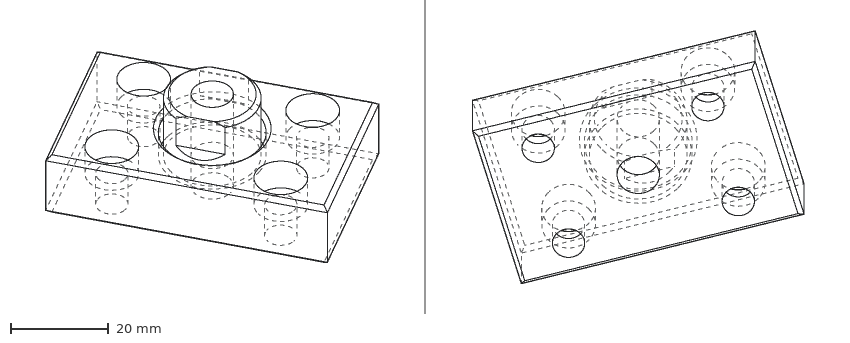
import cadquery as cq

plate_length = 60.0
plate_width = 37.0
plate_height = 15.0
total_height = 24.0
chamfer = 1.0

screw_spacing_x = 36.0
screw_spacing_y = 23.0
screw_hole_diameter = 6.6
counterbore_diameter = 11.0
counterbore_depth = 7.0

pin_diameter = 20.0
pin_clearance = 1.0
bore_diameter = 8.65
flat_distance = 17.0
flat_rise = 0.95

pocket_diameter = pin_diameter + 2 * pin_clearance
pocket_depth = counterbore_depth
pocket_floor = plate_height - pocket_depth
flat_offset = flat_distance / 2
flat_bottom = plate_height + flat_rise
flat_cut_depth = pin_diameter / 2 - flat_offset


def make_plate():
    """Chamfered plate with four screw holes and a central pocket for the pin."""
    plate = cq.Workplane("XY").box(plate_length, plate_width, plate_height, centered=(True, True, False))
    plate = plate.faces("<Z or >Z").edges().chamfer(chamfer)

    plate = (
        plate.faces(">Z")
        .workplane(origin=(0, 0, plate_height))
        .rarray(screw_spacing_x, screw_spacing_y, 2, 2)
        .cboreHole(screw_hole_diameter, counterbore_diameter, counterbore_depth)
    )

    pocket = (
        cq.Workplane("XY", origin=(0, 0, pocket_floor))
        .circle(pocket_diameter / 2)
        .extrude(pocket_depth)
    )
    mouth = cq.Workplane(
        cq.Solid.makeCone(
            pocket_diameter / 2,
            pocket_diameter / 2 + chamfer,
            chamfer,
            pnt=cq.Vector(0, 0, plate_height - chamfer),
        )
    )
    bore = cq.Workplane("XY").circle(bore_diameter / 2).extrude(plate_height)
    return plate.cut(pocket).cut(mouth).cut(bore)


def make_flat_cutter(side):
    """Wedge-bottomed cutter for one flat; side is +1 or -1 along Y."""
    pin_radius = pin_diameter / 2
    return (
        cq.Workplane("YZ")
        .moveTo(side * flat_offset, total_height)
        .lineTo(side * flat_offset, flat_bottom)
        .lineTo(side * pin_radius, flat_bottom - flat_cut_depth)
        .lineTo(side * pin_radius, total_height)
        .close()
        .extrude(pin_radius, both=True)
    )


def make_pin():
    """Bored round pin standing on the pocket floor, with two wrench flats."""
    pin = (
        cq.Workplane("XY", origin=(0, 0, pocket_floor))
        .circle(pin_diameter / 2)
        .circle(bore_diameter / 2)
        .extrude(total_height - pocket_floor)
    )
    pin = pin.faces(">Z").edges(cq.selectors.RadiusNthSelector(-1)).chamfer(chamfer)
    for side in (1, -1):
        pin = pin.cut(make_flat_cutter(side))
    return pin


plate = make_plate()
pin = make_pin()
result = cq.Compound.makeCompound([plate.solids().val(), pin.solids().val()])